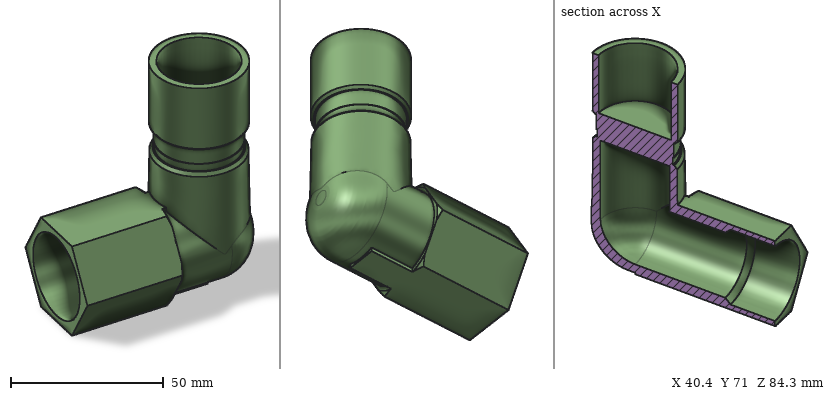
import cadquery as cq
import math


hex_corners = 40.4
hex_flats = hex_corners * math.cos(math.radians(30))
hex_front = -54.1
hex_back = -17.2
hex_chamfer_width = 1.7
hex_chamfer_length = 1.0
socket_radius = 30.5 / 2
socket_depth = 17.2
socket_cone_length = 2.0

elbow_radius = 16.9
elbow_round = 14.2
bore_radius = 26.5 / 2
pad_width = 11.2

overall_height = 84.25
tube_top = overall_height - hex_flats / 2
collar_length = 23.7
collar_base = tube_top - collar_length
collar_chamfer = 1.0
neck_step = 36.1
neck_base = 33.2
shoulder = 31.9
bore_top = shoulder

collar_radius = 33.0 / 2
upper_neck_radius = 30.0 / 2
lower_neck_radius = 29.5 / 2
ledge_radius = 30.5 / 2
shoulder_radius = 32.7 / 2
tube_socket_diameter = 28.0


def cylinder_along_y(radius, front, back):
    return cq.Workplane("XZ", origin=(0, back, 0)).circle(radius).extrude(back - front)


def make_tube():
    """Tapered body, stepped neck and collar turned about Z."""
    profile = [
        (0, 0),
        (elbow_radius, 0),
        (shoulder_radius, shoulder),
        (ledge_radius, neck_base),
        (lower_neck_radius, neck_base),
        (lower_neck_radius, neck_step),
        (upper_neck_radius, neck_step),
        (upper_neck_radius, collar_base - collar_chamfer),
        (collar_radius - collar_chamfer, collar_base - collar_chamfer),
        (collar_radius, collar_base),
        (collar_radius, tube_top),
        (0, tube_top),
    ]
    return cq.Workplane("XZ").polyline(profile).close().revolve(360, (0, 0), (0, 1))


def make_elbow():
    """Horizontal barrel with a rounded closed end."""
    barrel = cylinder_along_y(elbow_radius, hex_back, elbow_radius)
    return barrel.faces(">Y").edges().fillet(elbow_round)


def make_pads():
    """Flat strips above and below the barrel, level with the hexagon flats."""
    return cq.Workplane("XY").box(pad_width, -hex_back, hex_flats).translate((0, hex_back / 2, 0))


def make_hexagon():
    """Hexagonal prism with its back corners turned to a cone."""
    prism = cq.Workplane("XZ", origin=(0, hex_back, 0)).polygon(6, hex_corners).extrude(hex_back - hex_front)
    corner_cone = cylinder_along_y(hex_corners / 2, hex_front, hex_back)
    corner_cone = corner_cone.faces(">Y").edges().chamfer(hex_chamfer_length, hex_chamfer_width)
    return prism.intersect(corner_cone)


def make_inner_bore():
    """Horizontal and vertical passages joined by a spherical bend."""
    horizontal = cylinder_along_y(bore_radius, hex_front, 0)
    vertical = cq.Workplane("XY").circle(bore_radius).extrude(bore_top)
    return horizontal.union(vertical).union(cq.Workplane("XY").sphere(bore_radius))


def make_hex_socket():
    """Straight socket that narrows in a cone to the inner bore, turned about Y."""
    cone_start = hex_front + socket_depth
    cone_end = cone_start + socket_cone_length
    profile = [
        (0, hex_front),
        (socket_radius, hex_front),
        (socket_radius, cone_start),
        (bore_radius, cone_end),
        (0, cone_end),
    ]
    return cq.Workplane("XY").polyline(profile).close().revolve(360, (0, 0), (0, 1))


def make_tube_socket():
    """Blind socket in the collar."""
    floor = cq.Workplane("XY", origin=(0, 0, collar_base))
    return floor.circle(tube_socket_diameter / 2).extrude(collar_length)


result = make_tube().union(make_elbow()).union(make_pads()).union(make_hexagon())
result = result.cut(make_inner_bore()).cut(make_hex_socket()).cut(make_tube_socket())